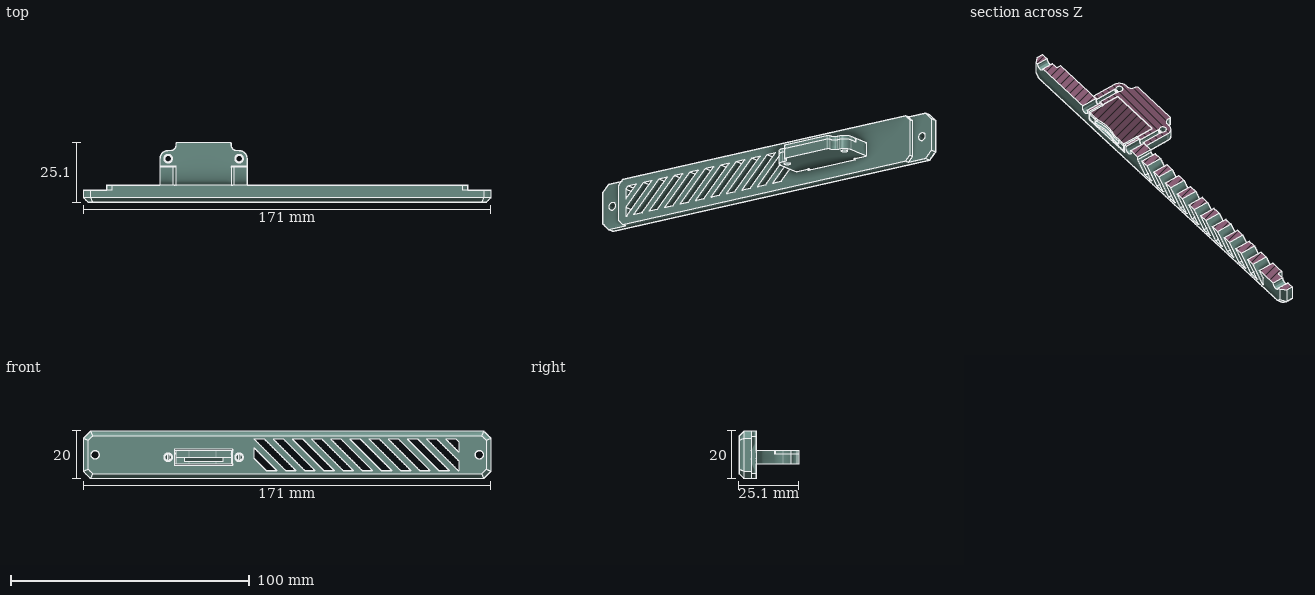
import cadquery as cq


PANEL_LENGTH = 171.0
PANEL_HEIGHT = 20.0
PANEL_DEPTH = 7.2
FLANGE_DEPTH = 5.1
CORNER_CUT = 3.0
FRONT_CHAMFER = 2.0
FLANGE_LENGTH = 9.7
BACK_CORNER_CUT = 2.2
MOUNT_HOLE_DIAMETER = 3.5
MOUNT_HOLE_INSET = 5.0

VENT_LEFT = -13.9
VENT_WIDTH = 85.8
VENT_HEIGHT = 13.2
SLOT_WIDTH = 4.3
SLOT_PITCH = 8.0
SLOT_COUNT = 12

HOLDER_X = -35.0
HOLDER_Z = -1.0
HOLDER_DEPTH = 25.1
HOLDER_HEIGHT = 5.8
HOLDER_TOP = HOLDER_Z + HOLDER_HEIGHT / 2
HOLDER_BOTTOM = HOLDER_Z - HOLDER_HEIGHT / 2
CORE_HALF_WIDTH = 11.6
BACK_FILLET = 0.7

WINDOW_GAP = 0.5

EAR_RADIUS = 3.5
EAR_X = 14.9
EAR_Y = 18.3
EAR_THICKNESS = 1.5
EAR_UNDERSIDE = HOLDER_TOP - EAR_THICKNESS
NECK_RADIUS = 2.2
HOLDER_HALF_WIDTH = EAR_X + EAR_RADIUS
ARM_END = 14.9
EAR_GAP = 0.3
ARM_SLOPE_WIDTH = 1.2

CLEARANCE_DIAMETER = 3.6
PILOT_DIAMETER = 2.7
PILOT_OVERLAP = 0.03

CARD_SLOT_WIDTH = 16.0
CARD_SLOT_HEIGHT = 1.9
NOTCH_OFFSET = -0.5
NOTCH_WIDTH = 11.3
NOTCH_DEPTH = 0.9


def box(x_min, x_max, y_min, y_max, z_min, z_max):
    """Box between the given limits."""
    size = (x_max - x_min, y_max - y_min, z_max - z_min)
    return cq.Workplane("XY").box(*size, centered=False).translate((x_min, y_min, z_min))


def cylinder_along_y(x, z, diameter, y_min, y_max):
    """Round bar parallel to Y."""
    plane = cq.Workplane("XZ", origin=(x, y_min, z))
    return plane.circle(diameter / 2).extrude(y_min - y_max)


def cylinder_along_z(x, y, diameter, z_min, z_max):
    """Round bar parallel to Z."""
    plane = cq.Workplane("XY", origin=(x, y, z_min))
    return plane.circle(diameter / 2).extrude(z_max - z_min)




def panel_blank():
    """Plate with cut corners, a chamfered front and a raised back between the end flanges."""
    flange = (
        cq.Workplane("XZ")
        .rect(PANEL_LENGTH, PANEL_HEIGHT)
        .extrude(-FLANGE_DEPTH)
        .edges("|Y")
        .chamfer(CORNER_CUT)
        .faces("<Y")
        .chamfer(FRONT_CHAMFER)
    )
    raised_back = (
        cq.Workplane("XZ")
        .rect(PANEL_LENGTH - 2 * FLANGE_LENGTH, PANEL_HEIGHT)
        .extrude(FLANGE_DEPTH - PANEL_DEPTH)
        .edges("|Y")
        .chamfer(BACK_CORNER_CUT)
        .translate((0, FLANGE_DEPTH, 0))
    )
    return flange.union(raised_back)


def vent_slots():
    """Row of slots leaning at 45 degrees, starting one pitch left of the rectangle that trims them."""
    top = VENT_HEIGHT / 2
    field = box(VENT_LEFT, VENT_LEFT + VENT_WIDTH, 0, PANEL_DEPTH, -top, top)
    slots = cq.Workplane("XZ")
    for index in range(SLOT_COUNT):
        start = VENT_LEFT + (index - 1) * SLOT_PITCH
        slot = (
            cq.Workplane("XZ")
            .moveTo(start, top)
            .lineTo(start + SLOT_WIDTH, top)
            .lineTo(start + SLOT_WIDTH + VENT_HEIGHT, -top)
            .lineTo(start + VENT_HEIGHT, -top)
            .close()
            .extrude(-PANEL_DEPTH)
        )
        slots.add(slot.intersect(field))
    return slots.combine()


def holder_window():
    """Rectangular opening around the front of the card holder."""
    half_width = CORE_HALF_WIDTH + WINDOW_GAP
    return box(
        HOLDER_X - half_width,
        HOLDER_X + half_width,
        0,
        PANEL_DEPTH,
        HOLDER_BOTTOM - WINDOW_GAP,
        HOLDER_TOP + WINDOW_GAP,
    )


def build_panel():
    panel = panel_blank().cut(vent_slots()).cut(holder_window())
    mount_x = PANEL_LENGTH / 2 - MOUNT_HOLE_INSET
    for side in (-1, 1):
        mount_hole = cylinder_along_y(side * mount_x, 0, MOUNT_HOLE_DIAMETER, 0, PANEL_DEPTH)
        screw_x = HOLDER_X + side * EAR_X
        screw_hole = cylinder_along_y(screw_x, HOLDER_Z, CLEARANCE_DIAMETER, 0, PANEL_DEPTH)
        panel = panel.cut(mount_hole).cut(screw_hole)
    return panel




def holder_block():
    """Full-height holder: a core that enters the panel window, with arms and ears behind the panel."""
    ear_back = EAR_Y + EAR_RADIUS
    neck_x = CORE_HALF_WIDTH + NECK_RADIUS
    neck_y = ear_back + NECK_RADIUS
    half = (
        cq.Workplane("XY", origin=(0, 0, HOLDER_BOTTOM))
        .lineTo(CORE_HALF_WIDTH, 0)
        .lineTo(CORE_HALF_WIDTH, PANEL_DEPTH)
        .lineTo(HOLDER_HALF_WIDTH, PANEL_DEPTH)
        .lineTo(HOLDER_HALF_WIDTH, EAR_Y)
        .radiusArc((EAR_X, ear_back), -EAR_RADIUS)
        .lineTo(neck_x, ear_back)
        .radiusArc((CORE_HALF_WIDTH, neck_y), NECK_RADIUS)
        .lineTo(CORE_HALF_WIDTH, HOLDER_DEPTH - BACK_FILLET)
        .radiusArc((CORE_HALF_WIDTH - BACK_FILLET, HOLDER_DEPTH), -BACK_FILLET)
        .lineTo(0, HOLDER_DEPTH)
        .close()
        .extrude(HOLDER_HEIGHT)
    )
    return half.union(half.mirror("YZ")).translate((HOLDER_X, 0, 0))


def finger_notch():
    """Shallow round scoop through the front edge of the holder."""
    half_width = NOTCH_WIDTH / 2
    return (
        cq.Workplane("XY", origin=(HOLDER_X + NOTCH_OFFSET, 0, HOLDER_BOTTOM))
        .moveTo(-half_width, 0)
        .threePointArc((0, NOTCH_DEPTH), (half_width, 0))
        .close()
        .extrude(HOLDER_HEIGHT)
    )


def lid_space():
    """Room for the lid: a thick front tongue over the card slot and a thin plate with ears behind it."""
    tongue = box(
        HOLDER_X - CORE_HALF_WIDTH,
        HOLDER_X + CORE_HALF_WIDTH,
        0,
        ARM_END,
        HOLDER_Z,
        HOLDER_TOP,
    )
    rear_plate = box(
        HOLDER_X - HOLDER_HALF_WIDTH,
        HOLDER_X + HOLDER_HALF_WIDTH,
        ARM_END,
        HOLDER_DEPTH,
        EAR_UNDERSIDE,
        HOLDER_TOP,
    )
    return tongue.union(rear_plate)


def arm_slopes():
    """Room above the sloping inner edges of the arms, widening upwards beside the lid."""
    return (
        cq.Workplane("XZ", origin=(HOLDER_X, PANEL_DEPTH, 0))
        .moveTo(-CORE_HALF_WIDTH, EAR_UNDERSIDE)
        .lineTo(CORE_HALF_WIDTH, EAR_UNDERSIDE)
        .lineTo(CORE_HALF_WIDTH + ARM_SLOPE_WIDTH, HOLDER_TOP)
        .lineTo(-CORE_HALF_WIDTH - ARM_SLOPE_WIDTH, HOLDER_TOP)
        .close()
        .extrude(PANEL_DEPTH - ARM_END)
    )


def card_slot():
    """Flat pocket for the card, open at the front and closed above by the lid."""
    return box(
        HOLDER_X - CARD_SLOT_WIDTH / 2,
        HOLDER_X + CARD_SLOT_WIDTH / 2,
        0,
        ARM_END,
        HOLDER_Z - CARD_SLOT_HEIGHT,
        HOLDER_Z,
    )


def build_base():
    panel_pilot_end = EAR_Y - PILOT_DIAMETER / 2 + PILOT_OVERLAP
    base = holder_block().cut(lid_space()).cut(arm_slopes()).cut(card_slot()).cut(finger_notch())
    for side in (-1, 1):
        screw_x = HOLDER_X + side * EAR_X
        lid_pilot = cylinder_along_z(screw_x, EAR_Y, PILOT_DIAMETER, HOLDER_BOTTOM, HOLDER_TOP)
        panel_pilot = cylinder_along_y(
            screw_x, HOLDER_Z, PILOT_DIAMETER, PANEL_DEPTH, panel_pilot_end
        )
        base = base.cut(lid_pilot).cut(panel_pilot)
    return base


def ear_gap(side):
    """Thin gap between the end of one arm (side -1 or 1) and the front of the lid ear behind it."""
    inner_x = HOLDER_X + side * CORE_HALF_WIDTH
    outer_x = HOLDER_X + side * HOLDER_HALF_WIDTH
    return box(
        min(inner_x, outer_x),
        max(inner_x, outer_x),
        ARM_END,
        ARM_END + EAR_GAP,
        EAR_UNDERSIDE,
        HOLDER_TOP,
    )


def build_lid():
    lid = holder_block().intersect(lid_space()).cut(finger_notch())
    for side in (-1, 1):
        screw_x = HOLDER_X + side * EAR_X
        screw_hole = cylinder_along_z(
            screw_x, EAR_Y, CLEARANCE_DIAMETER, EAR_UNDERSIDE, HOLDER_TOP
        )
        lid = lid.cut(ear_gap(side)).cut(screw_hole)
    return lid


panel = build_panel()
base = build_base()
lid = build_lid()

result = cq.Compound.makeCompound([panel.val(), base.val(), lid.val()])